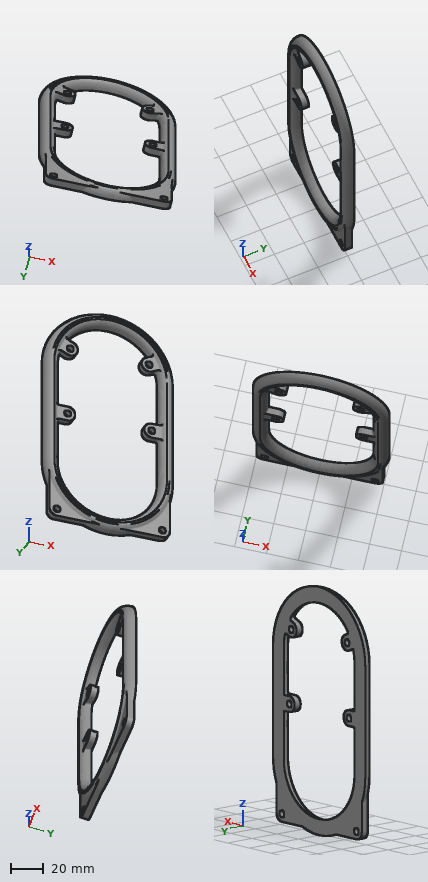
import cadquery as cq
import math

overall_height = 155.0
overall_width = 85.5
depth = 6.5

bead_width = 10.0
crest_width = 1.5
bead_half_width = bead_width / 2
crest_angle = math.acos(crest_width / bead_width)
ellipse_depth = depth / math.sin(crest_angle)
center_radius = overall_width / 2 - bead_half_width
arc_center_z = (overall_height - overall_width) / 2

pad_depth = 5.0
pad_radius = 5.0
hole_diameter = 4.3
root_fillet = 1.0

side_hole_x = 27.6
upper_hole_radius = 28.5
upper_lug_angle = 25.0

plate_width = 79.0
plate_bottom_z = -74.5

touch_tolerance = 0.002


def make_path():
    """Closed center line of the ring on the back plane."""
    return (
        cq.Workplane("XZ")
        .moveTo(center_radius, -arc_center_z)
        .lineTo(center_radius, arc_center_z)
        .threePointArc((0, arc_center_z + center_radius), (-center_radius, arc_center_z))
        .lineTo(-center_radius, -arc_center_z)
        .threePointArc((0, -arc_center_z - center_radius), (center_radius, -arc_center_z))
        .close()
    )


def make_ring():
    """Sweep the half-ellipse profile around the stadium path."""
    arc_span = math.degrees(crest_angle)
    profile = (
        cq.Workplane("XY", origin=(center_radius, 0, -arc_center_z))
        .moveTo(-bead_half_width, 0)
        .ellipseArc(bead_half_width, ellipse_depth, 180, 180 + arc_span)
        .lineTo(crest_width / 2, -depth)
        .ellipseArc(bead_half_width, ellipse_depth, 360 - arc_span, 360)
        .close()
    )
    return profile.sweep(make_path())


def make_lug(hole_x):
    """Round-ended lug lying along X, from its hole to the ring's center line."""
    length = center_radius - hole_x
    arm = (
        cq.Workplane("XZ")
        .center(hole_x + length / 2, 0)
        .rect(length, 2 * pad_radius)
        .extrude(pad_depth)
    )
    tip = cq.Workplane("XZ").center(hole_x, 0).circle(pad_radius).extrude(pad_depth)
    return arm.union(tip)


def make_plate():
    """Plate with rounded lower corners, cleared inside the ring's center line."""
    height = -arc_center_z - plate_bottom_z
    plate = (
        cq.Workplane("XZ")
        .center(0, plate_bottom_z + height / 2)
        .rect(plate_width, height)
        .extrude(pad_depth)
        .edges("|Y and <Z")
        .fillet(pad_radius)
    )
    return plate.cut(make_path().extrude(pad_depth))


def make_pads():
    """Corner plate and both pairs of lugs."""
    side_lug = make_lug(side_hole_x)
    upper_lug = (
        make_lug(upper_hole_radius)
        .rotate((0, 0, 0), (0, -1, 0), upper_lug_angle)
        .translate((0, 0, arc_center_z))
    )
    pads = make_plate()
    for lug in (side_lug, upper_lug):
        pads = pads.union(lug).union(lug.mirror("YZ"))
    return pads


def find_root_edges(body, ring, pads):
    """Edges in front of the back plane where the pads meet the ring surface."""
    ring_faces = cq.Compound.makeCompound(ring.faces().vals())
    pad_faces = cq.Compound.makeCompound(pads.faces().vals())
    root_edges = []
    for edge in body.edges().vals():
        middle = edge.positionAt(0.5)
        point = cq.Vertex.makeVertex(middle.x, middle.y, middle.z)
        on_ring = point.distance(ring_faces) < touch_tolerance
        on_pad = point.distance(pad_faces) < touch_tolerance
        if on_ring and on_pad and middle.y < -touch_tolerance:
            root_edges.append(edge)
    return root_edges


def make_holes():
    """Pins for the six screw holes, two on each level."""
    angle = math.radians(upper_lug_angle)
    right_centers = [
        (side_hole_x, 0),
        (upper_hole_radius * math.cos(angle), arc_center_z + upper_hole_radius * math.sin(angle)),
        (plate_width / 2 - pad_radius, plate_bottom_z + pad_radius),
    ]
    left_centers = [(-x, z) for x, z in right_centers]
    return (
        cq.Workplane("XZ")
        .pushPoints(right_centers + left_centers)
        .circle(hole_diameter / 2)
        .extrude(pad_depth)
    )


ring = make_ring()
pads = make_pads()
body = ring.union(pads)
body = body.newObject(find_root_edges(body, ring, pads)).fillet(root_fillet)
result = body.cut(make_holes()).solids()